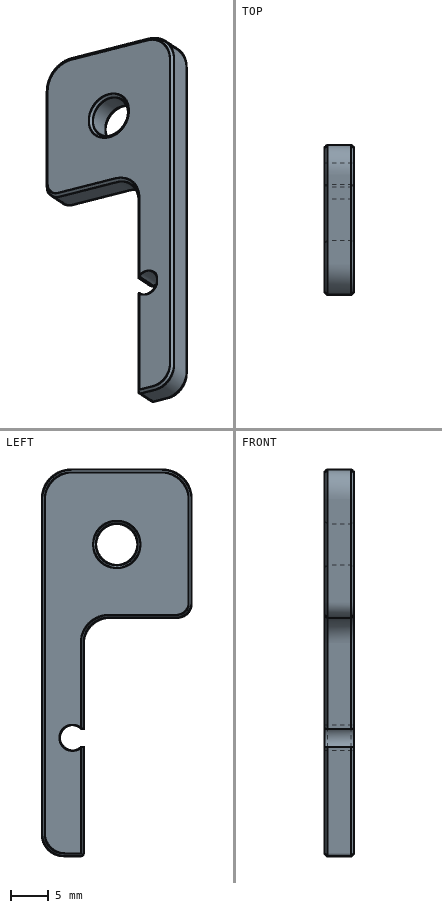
import cadquery as cq

thickness = 4.0
head_width = 20.0
head_height = 19.8
total_height = 51.6
arm_width = 5.6

edge_chamfer = 0.4

head_top_radius = 4.0
head_lower_radius = 2.0
inner_corner_radius = 3.4
arm_end_outer_radius = 3.0
arm_end_inner_radius = 0.41

mounting_hole_diameter = 5.5

notch_diameter = 3.4
notch_inset = 4.1
notch_height_above_end = 15.8
notch_mouth = 2.4

half_head = head_width / 2
head_bottom_z = half_head - head_height
arm_outer_y = half_head
arm_inner_y = arm_outer_y - arm_width
arm_bottom_z = half_head - total_height
notch_y = arm_outer_y - notch_inset
notch_z = arm_bottom_z + notch_height_above_end


def round_corner(plate, y, z, radius):
    """Fillet the through-thickness edge nearest to the outline corner (y, z)."""
    corner = cq.selectors.NearestToPointSelector((0, y, z))
    return plate.edges("|X").edges(corner).fillet(radius)


def make_plate():
    """Flag-shaped plate with rounded corners and chamfered rims on both faces."""
    outline = [
        (arm_outer_y, half_head),
        (-half_head, half_head),
        (-half_head, head_bottom_z),
        (arm_inner_y, head_bottom_z),
        (arm_inner_y, arm_bottom_z),
        (arm_outer_y, arm_bottom_z),
    ]
    plate = cq.Workplane("YZ").polyline(outline).close().extrude(thickness / 2, both=True)
    plate = round_corner(plate, half_head, half_head, head_top_radius)
    plate = round_corner(plate, -half_head, half_head, head_top_radius)
    plate = round_corner(plate, -half_head, head_bottom_z, head_lower_radius)
    plate = round_corner(plate, arm_inner_y, head_bottom_z, inner_corner_radius)
    plate = round_corner(plate, arm_outer_y, arm_bottom_z, arm_end_outer_radius)
    plate = round_corner(plate, arm_inner_y, arm_bottom_z, arm_end_inner_radius)
    return plate.faces("<X or >X").edges().chamfer(edge_chamfer)


def cut_mounting_hole(plate):
    """Through hole with a chamfer at both faces, revolved about the X axis."""
    radius = mounting_hole_diameter / 2
    rim_radius = radius + edge_chamfer
    face_x = thickness / 2
    bore_x = face_x - edge_chamfer
    profile = [
        (-face_x, 0),
        (-face_x, rim_radius),
        (-bore_x, radius),
        (bore_x, radius),
        (face_x, rim_radius),
        (face_x, 0),
    ]
    cutter = cq.Workplane("XY").polyline(profile).close().revolve(360, (0, 0), (1, 0))
    return plate.cut(cutter)


def cut_notch(plate):
    """Round seat in the arm with a parallel-sided mouth open towards -Y."""
    seat = (
        cq.Workplane("YZ")
        .center(notch_y, notch_z)
        .circle(notch_diameter / 2)
        .extrude(thickness / 2, both=True)
    )
    mouth_length = notch_y - arm_inner_y
    mouth_center = (0, notch_y - mouth_length / 2, notch_z)
    mouth = cq.Workplane("XY").box(thickness, mouth_length, notch_mouth).translate(mouth_center)
    return plate.cut(seat).cut(mouth)


result = cut_notch(cut_mounting_hole(make_plate()))